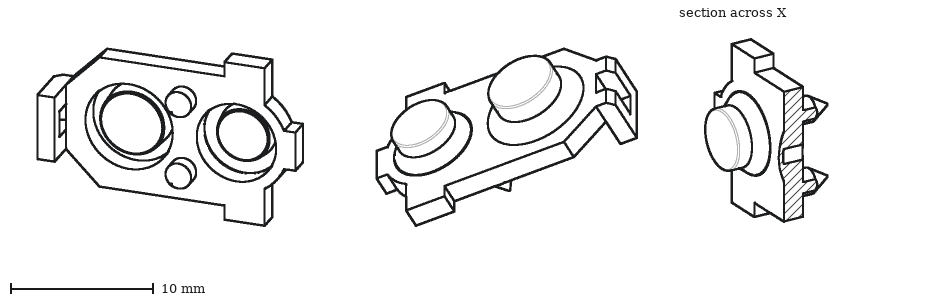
import cadquery as cq
import math

LENGTH = 18.4
PLATE_THICKNESS = 1.58
HALF_HEIGHT = 4.97
SHOULDER_X = 3.79
LUG_START_X = 13.1
LUG_END_X = 16.1
LUG_HALF_HEIGHT = 6.05
NOSE_RADIUS = 3.85
TONGUE_HALF_HEIGHT = 1.47

TAB_WIDTH = 1.29
TAB_HALF_HEIGHT = 2.47
TAB_REACH = 2.3
TAB_CHAMFER = 0.5
SLOT_HALF_HEIGHT = 0.98
SLOT_REACH = 1.29

PIN_X = 10.05
PIN_Z = 2.75
PIN_RADIUS = 0.95
PIN_TIP_RADIUS = 0.07
PIN_STRAIGHT = 1.01
PIN_REACH = 2.5

LARGE_CUP_X = 6.0
SMALL_CUP_X = 14.0
FLARE_END_Y = 2.61
CAVITY_END_Y = 2.4
CAP_EDGE_RADIUS = 0.11
POST_EDGE_RADIUS = 0.11


def box(x_range, y_range, z_range):
    """Box spanning three (low, high) ranges."""
    low, high = zip(x_range, y_range, z_range)
    size = [b - a for a, b in zip(low, high)]
    return cq.Workplane("XY").box(*size, centered=False).translate(low)


def make_plate():
    nose_upper_z = math.sqrt(NOSE_RADIUS**2 - (LUG_END_X - SMALL_CUP_X) ** 2)
    tongue_start_x = SMALL_CUP_X + math.sqrt(NOSE_RADIUS**2 - TONGUE_HALF_HEIGHT**2)
    middle_angle = 0.5 * (
        math.atan2(nose_upper_z, LUG_END_X - SMALL_CUP_X)
        + math.atan2(TONGUE_HALF_HEIGHT, tongue_start_x - SMALL_CUP_X)
    )
    nose_middle = (
        SMALL_CUP_X + NOSE_RADIUS * math.cos(middle_angle),
        NOSE_RADIUS * math.sin(middle_angle),
    )
    upper_half = (
        cq.Workplane("XZ")
        .moveTo(TAB_WIDTH, 0)
        .lineTo(TAB_WIDTH, TAB_HALF_HEIGHT)
        .lineTo(SHOULDER_X, HALF_HEIGHT)
        .lineTo(LUG_START_X, HALF_HEIGHT)
        .lineTo(LUG_START_X, LUG_HALF_HEIGHT)
        .lineTo(LUG_END_X, LUG_HALF_HEIGHT)
        .lineTo(LUG_END_X, nose_upper_z)
        .threePointArc(nose_middle, (tongue_start_x, TONGUE_HALF_HEIGHT))
        .lineTo(LENGTH, TONGUE_HALF_HEIGHT)
        .lineTo(LENGTH, 0)
        .close()
        .extrude(-PLATE_THICKNESS)
    )
    return upper_half.union(upper_half.mirror("XY"))


def make_tab():
    tab = box(
        (0, TAB_WIDTH),
        (-TAB_REACH, PLATE_THICKNESS),
        (-TAB_HALF_HEIGHT, TAB_HALF_HEIGHT),
    )
    tab = tab.faces("<X").edges(">Y").chamfer(TAB_CHAMFER)
    slot = box(
        (0, TAB_WIDTH),
        (-SLOT_REACH, PLATE_THICKNESS),
        (-SLOT_HALF_HEIGHT, SLOT_HALF_HEIGHT),
    )
    return tab.cut(slot)


def revolve_about_y(profile, x, z=0):
    """Turn a closed (radius, Y) profile about an axis parallel to Y."""
    return profile.close().revolve(360, (0, 0), (0, 1)).translate((x, 0, z))


def make_pin(z):
    profile = cq.Workplane("XY").polyline(
        [
            (0, 0),
            (PIN_RADIUS, 0),
            (PIN_RADIUS, -PIN_STRAIGHT),
            (PIN_TIP_RADIUS, -PIN_REACH),
            (0, -PIN_REACH),
        ]
    )
    return revolve_about_y(profile, PIN_X, z)


def add_cup(body, x, flare_radius, cap_radius, top_y, bore_radius, post_root_radius,
            post_radius, post_edge_y, dome_height):
    """Add a flared shell, hollow it from the front, and leave a domed post inside."""
    shell = revolve_about_y(
        cq.Workplane("XY").polyline(
            [
                (0, 0),
                (bore_radius, 0),
                (bore_radius, PLATE_THICKNESS),
                (flare_radius, PLATE_THICKNESS),
                (cap_radius, FLARE_END_Y),
                (cap_radius, top_y),
                (0, top_y),
            ]
        ),
        x,
    )
    shell = shell.faces(">Y").edges().fillet(CAP_EDGE_RADIUS)
    cavity = revolve_about_y(
        cq.Workplane("XY").polyline(
            [
                (0, 0),
                (bore_radius, 0),
                (bore_radius, PLATE_THICKNESS),
                (post_root_radius, CAVITY_END_Y),
                (0, CAVITY_END_Y),
            ]
        ),
        x,
    )
    dome_edge = post_radius - POST_EDGE_RADIUS
    dome_edge_y = post_edge_y - POST_EDGE_RADIUS
    sphere_radius = (dome_edge**2 + dome_height**2) / (2 * dome_height)
    half_edge = dome_edge / 2
    half_edge_y = (
        dome_edge_y - dome_height + sphere_radius - math.sqrt(sphere_radius**2 - half_edge**2)
    )
    post = revolve_about_y(
        cq.Workplane("XY")
        .moveTo(0, CAVITY_END_Y)
        .lineTo(post_root_radius, CAVITY_END_Y)
        .lineTo(post_radius, post_edge_y)
        .lineTo(dome_edge, dome_edge_y)
        .threePointArc((half_edge, half_edge_y), (0, dome_edge_y - dome_height)),
        x,
    )
    return body.union(shell).cut(cavity).union(post)


result = make_plate().union(make_tab())
result = add_cup(
    result, LARGE_CUP_X, flare_radius=3.74, cap_radius=2.5, top_y=4.1, bore_radius=3.25,
    post_root_radius=2.5, post_radius=2.4, post_edge_y=0.65, dome_height=0.24,
)
result = add_cup(
    result, SMALL_CUP_X, flare_radius=3.04, cap_radius=2.25, top_y=3.74, bore_radius=2.96,
    post_root_radius=2.12, post_radius=1.97, post_edge_y=1.4, dome_height=0.24,
)
for pin_z in (-PIN_Z, PIN_Z):
    result = result.union(make_pin(pin_z))